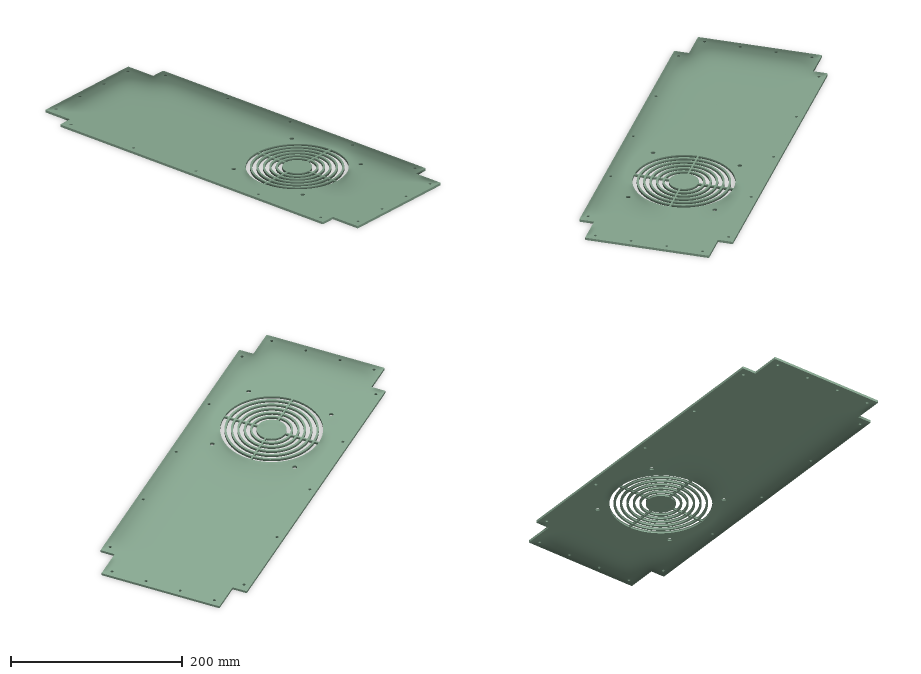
import cadquery as cq

plate_length = 476.0
plate_width = 186.0
thickness = 3.0

on_base_plane = (True, True, False)

body_length = 400.0
tab_width = 150.0
corner_radius = 1.0

screw_hole_diameter = 3.5
side_hole_count = 5
side_hole_pitch = 95.0
side_row_spacing = 170.0
end_hole_count = 4
end_hole_span = 130.0
end_hole_pitch = end_hole_span / (end_hole_count - 1)
end_row_spacing = 460.0

fan_x = 82.5
fan_y = 0.0
fan_hole_spacing = 105.0
fan_hole_diameter = 5.5
grille_diameter = 120.0
slot_count = 6
slot_width = 5.0
ring_width = 2.5
spoke_width = 2.0


def rounded_rectangle(length, width):
    """Flat rectangular plate with its four vertical edges rounded."""
    blank = cq.Workplane("XY").box(length, width, thickness, centered=on_base_plane)
    return blank.edges("|Z").fillet(corner_radius)


def make_plate():
    """Flat plate with notched corners and rounded outer corners."""
    body = rounded_rectangle(body_length, plate_width)
    tabs = rounded_rectangle(plate_length, tab_width)
    return body.union(tabs)


def make_screw_holes():
    """Cutters for the rows of screw holes along all four edges."""
    sides = cq.Workplane("XY").rarray(side_hole_pitch, side_row_spacing, side_hole_count, 2)
    ends = cq.Workplane("XY").rarray(end_row_spacing, end_hole_pitch, 2, end_hole_count)
    side_cutters = sides.circle(screw_hole_diameter / 2).extrude(thickness)
    end_cutters = ends.circle(screw_hole_diameter / 2).extrude(thickness)
    return side_cutters.union(end_cutters)


def make_fan_holes():
    """Cutters for the four fan mounting holes around the grille."""
    return (
        cq.Workplane("XY")
        .center(fan_x, fan_y)
        .rarray(fan_hole_spacing, fan_hole_spacing, 2, 2)
        .circle(fan_hole_diameter / 2)
        .extrude(thickness)
    )


def make_grille_slots():
    """Concentric annular cutters, interrupted by two crossing spokes."""
    centre = cq.Workplane("XY").center(fan_x, fan_y)
    slots = cq.Workplane("XY")
    for index in range(slot_count):
        outer_radius = grille_diameter / 2 - index * (slot_width + ring_width)
        inner_radius = outer_radius - slot_width
        slots = slots.add(centre.circle(outer_radius).circle(inner_radius).extrude(thickness))
    spoke_x = centre.box(grille_diameter, spoke_width, thickness, centered=on_base_plane)
    spoke_y = centre.box(spoke_width, grille_diameter, thickness, centered=on_base_plane)
    return slots.combine().cut(spoke_x).cut(spoke_y)


result = make_plate().cut(make_screw_holes()).cut(make_fan_holes()).cut(make_grille_slots())